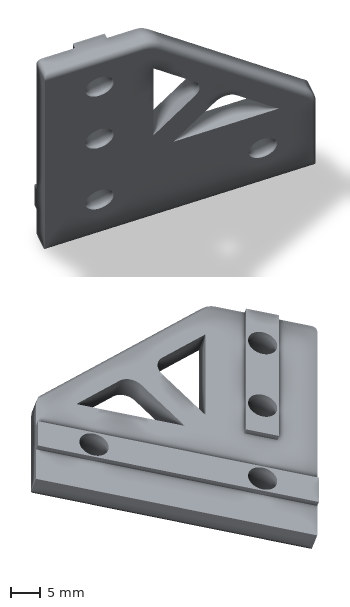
import cadquery as cq

side = 50.0
thickness = 5.0
rib_height = 1.0
plate_depth = thickness - rib_height
diagonal_start = 20.0
corner_radius = 5.0
edge_radius = 1.0

rib_width = 5.85
rib_centre = 10.0
short_rib_start = 21.0
hole_diameter = 5.2
hole_centres = [(10.0, 10.0), (40.0, 10.0), (10.0, 27.5), (10.0, 42.5)]

window_base = 19.9
window_near = 23.55
window_far = 42.85
window_radius = 2.75
window_apex_across = (window_near + window_far) / 2
window_apex_up = window_base + (window_far - window_near) / 2


def sharp_plate():
    """Square plate with one corner cut off at 45 degrees."""
    outline = [
        (0, 0),
        (side, 0),
        (side, diagonal_start),
        (diagonal_start, side),
        (0, side),
    ]
    return cq.Workplane("YZ", origin=(rib_height, 0, 0)).polyline(outline).close().extrude(plate_depth)


def edge_at(x, y, z):
    return cq.selectors.NearestToPointSelector((x, y, z))


def make_plate():
    diagonal_middle = (side + diagonal_start) / 2
    middle_x = rib_height + plate_depth / 2

    rounded = (
        sharp_plate()
        .edges(edge_at(middle_x, side, diagonal_start))
        .fillet(corner_radius)
        .edges(edge_at(middle_x, diagonal_start, side))
        .fillet(corner_radius)
    )
    back_edges = rounded.faces(">X").edges().edges("not <Y")
    rounded = rounded.newObject(back_edges.vals()).fillet(edge_radius)

    trimmed = (
        sharp_plate()
        .edges(edge_at(rib_height, diagonal_middle, diagonal_middle))
        .fillet(edge_radius)
        .edges(edge_at(middle_x, 0, side))
        .fillet(edge_radius)
    )
    return rounded.intersect(trimmed)


def make_ribs():
    rib_edge = rib_centre - rib_width / 2
    long_rib = cq.Workplane("XY").box(rib_height, side, rib_width, centered=False)
    short_rib = cq.Workplane("XY").box(rib_height, rib_width, side - short_rib_start, centered=False)
    return long_rib.translate((0, 0, rib_edge)).union(short_rib.translate((0, rib_edge, short_rib_start)))


def make_window(corners):
    """Triangular through cutter; the middle corner is the rounded apex."""
    apex_y, apex_z = corners[1]
    return (
        cq.Workplane("YZ")
        .polyline(corners)
        .close()
        .extrude(thickness)
        .edges(edge_at(thickness / 2, apex_y, apex_z))
        .fillet(window_radius)
    )


lower_window = [
    (window_near, window_base),
    (window_apex_across, window_apex_up),
    (window_far, window_base),
]
upper_window = [(z, y) for y, z in lower_window]
holes = cq.Workplane("YZ").pushPoints(hole_centres).circle(hole_diameter / 2).extrude(thickness)

result = make_plate().union(make_ribs()).cut(holes)
for window_corners in (lower_window, upper_window):
    result = result.cut(make_window(window_corners))